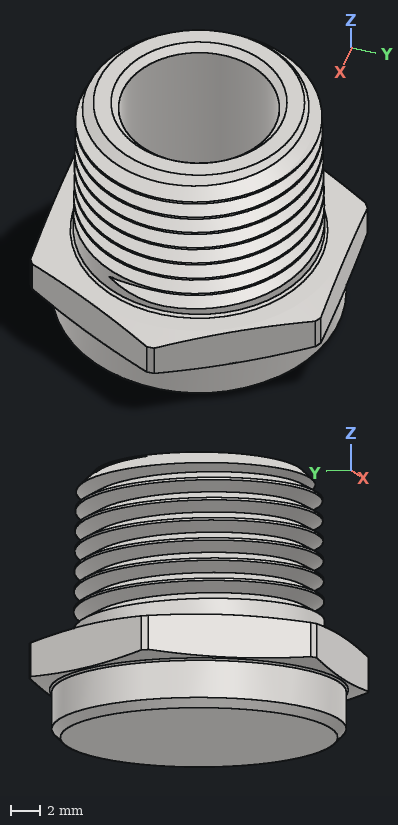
import cadquery as cq
import math

total_height = 18.3
hex_bottom = 3.3
hex_top = 6.38

cap_radius = 10.01
cap_chamfer = 0.59
cap_flare = 0.15

hex_flats = 20.57
hex_corner_radius = 11.72
hex_face_radius = 10.0
hex_chamfer_drop = 0.35

neck_base_radius = 8.55
neck_top_radius = 8.4
neck_flare = 0.19
neck_chamfer_top_radius = 7.18

bore_radius = 5.46
bore_chamfer = 0.52

thread_pitch = 1.4
thread_start = 7.65
thread_turns = 8
groove_depth = 1.1
groove_clearance = 0.07
flank_angle = math.radians(30)


def revolve_profile(points):
    """Revolve a closed (radius, height) outline about the Z axis."""
    return cq.Workplane("XZ").polyline(points).close().revolve(360, (0, 0), (0, 1))


def make_cap():
    return revolve_profile([
        (0, 0),
        (cap_radius - cap_chamfer, 0),
        (cap_radius, cap_chamfer),
        (cap_radius, hex_bottom - cap_flare),
        (cap_radius + cap_flare, hex_bottom),
        (0, hex_bottom),
    ])


def make_hexagon():
    """Hexagonal flange with its corners rounded and coned on both faces."""
    circumscribed_diameter = hex_flats / math.cos(math.radians(30))
    prism = (
        cq.Workplane("XY")
        .workplane(offset=hex_bottom)
        .polygon(6, circumscribed_diameter)
        .extrude(hex_top - hex_bottom)
    )
    corner_envelope = revolve_profile([
        (0, hex_bottom),
        (hex_face_radius, hex_bottom),
        (hex_corner_radius, hex_bottom + hex_chamfer_drop),
        (hex_corner_radius, hex_top - hex_chamfer_drop),
        (hex_face_radius, hex_top),
        (0, hex_top),
    ])
    return prism.intersect(corner_envelope)


def make_neck():
    neck_chamfer = neck_top_radius - neck_chamfer_top_radius
    return revolve_profile([
        (0, hex_top),
        (neck_base_radius + neck_flare, hex_top),
        (neck_base_radius, hex_top + neck_flare),
        (neck_top_radius, total_height - neck_chamfer),
        (neck_chamfer_top_radius, total_height),
        (0, total_height),
    ])


def make_groove_cutters():
    """V cutters: a helix running out past the top, and its straight exit along -Y."""
    taper = (neck_base_radius - neck_top_radius) / (total_height - hex_top)
    root_radius = neck_base_radius - groove_depth
    outer_radius = neck_base_radius + groove_clearance
    half_width = (outer_radius - root_radius) * math.tan(flank_angle)
    helix = cq.Wire.makeHelix(
        thread_pitch,
        thread_pitch * thread_turns,
        root_radius,
        center=cq.Vector(0, 0, thread_start),
        angle=-math.degrees(math.atan(taper)),
    )
    section = (
        cq.Workplane("XZ")
        .polyline([
            (root_radius, thread_start),
            (outer_radius, thread_start + half_width),
            (outer_radius, thread_start - half_width),
        ])
        .close()
    )
    helical_cutter = section.sweep(cq.Workplane(obj=helix), isFrenet=True)
    runout_cutter = section.toPending().extrude(neck_base_radius)
    return helical_cutter, runout_cutter


def make_bore():
    return revolve_profile([
        (0, hex_bottom),
        (bore_radius, hex_bottom),
        (bore_radius, total_height - bore_chamfer),
        (bore_radius + bore_chamfer, total_height),
        (0, total_height),
    ])


def make_nipple():
    helical_cutter, runout_cutter = make_groove_cutters()
    threaded_neck = make_neck().cut(helical_cutter).cut(runout_cutter)
    return make_hexagon().union(threaded_neck).cut(make_bore())


cap = make_cap()
nipple = make_nipple()

result = cq.Compound.makeCompound([cap.val(), *nipple.solids().vals()])